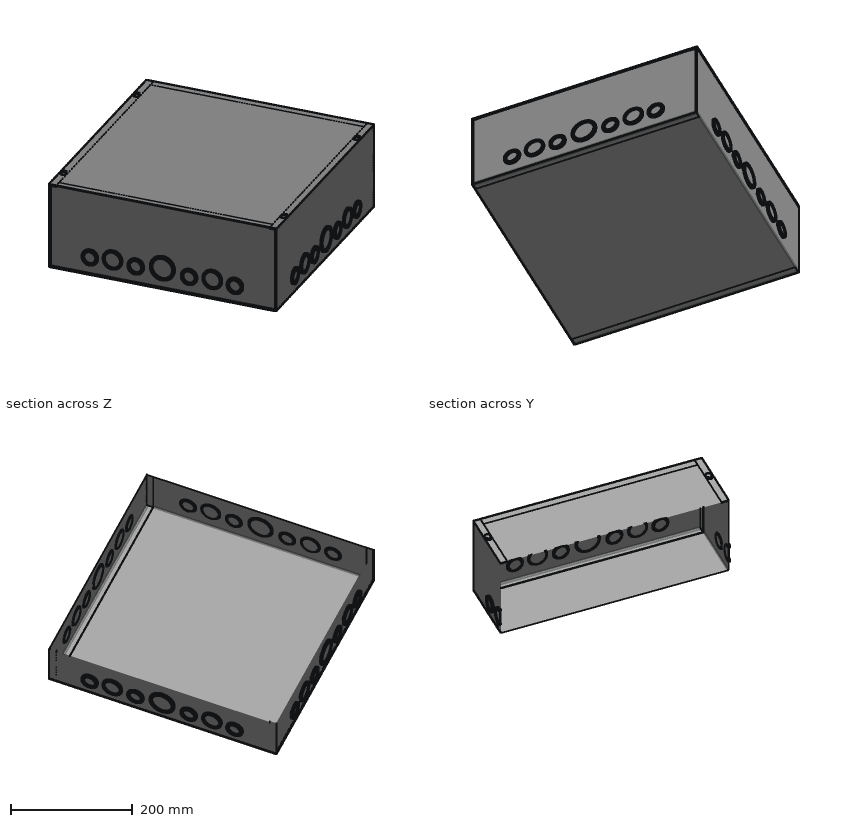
import cadquery as cq

side = 406.4
box_height = 152.4
sheet = 1.45
half_side = side / 2

panel_bend = 3.4
panel_gap = 0.7
wrapper_bend = sheet + panel_gap
flange_width = 12.7

screw_x = 196.4
screw_y = 152.3
keyhole_head_diameter = 10.3
keyhole_head_offset = 6.8
keyhole_neck_width = 3.4
keyhole_seat_radius = 3.3

knockout_rise = 2.97
knockout_center_rise = knockout_rise - sheet
small_ring = (29.3, 19.8)
medium_ring = (34.9, 27.0)
large_ring = (44.45, 34.9)
knockout_row = [
    (0, 38.3, large_ring),
    (47.6, 32.0, small_ring),
    (89.0, 35.6, medium_ring),
    (129.4, 32.0, small_ring),
]


def add_knockouts(body, wall):
    """Press a mirrored row of knockouts out of the wall whose outer face is the plane `wall`."""
    for distance, height, (outer, inner) in knockout_row:
        for along in {distance, -distance}:
            center = wall.center(along, height)
            disc = center.circle(outer / 2).extrude(knockout_rise)
            dish = center.workplane(offset=knockout_center_rise).circle(inner / 2).extrude(sheet)
            groove = center.workplane(offset=-sheet).circle(outer / 2 - sheet).circle(inner / 2 + sheet)
            body = body.union(disc).cut(dish).cut(groove.extrude(knockout_rise))
    return body


def make_wrapper():
    """Floor and two side walls bent from one sheet, with a flange along the top of each wall."""
    body = cq.Workplane("XY").box(side, side, box_height, centered=(True, True, False))
    body = body.edges("|Y and <Z").fillet(wrapper_bend)
    inside = cq.Workplane("XY", origin=(0, 0, sheet))
    inside = inside.box(side - 2 * sheet, side, box_height - 2 * sheet, centered=(True, True, False))
    inside = inside.edges("|Y and <Z").fillet(wrapper_bend - sheet)
    mouth = cq.Workplane("XY", origin=(0, 0, box_height))
    mouth = mouth.box(side - 2 * flange_width, side, 4 * sheet)
    body = body.cut(inside).cut(mouth)
    for direction in (-1, 1):
        wall = cq.Plane((direction * half_side, 0, 0), (0, direction, 0), (direction, 0, 0))
        body = add_knockouts(body, cq.Workplane(wall))
    return body


def make_end_panel(direction):
    """End wall with a flange on all four edges, set between the side walls and on the floor."""
    width = side - 2 * (sheet + panel_gap)
    height = box_height - sheet
    lower_front_edge = "|X and <Y and <Z"
    body = cq.Workplane("XY").box(width, flange_width, height, centered=(True, False, False))
    body = body.edges(lower_front_edge).fillet(panel_bend)
    inside = cq.Workplane("XY", origin=(0, sheet, sheet))
    inside = inside.box(width - 2 * sheet, flange_width, height - 2 * sheet, centered=(True, False, False))
    inside = inside.edges(lower_front_edge).fillet(panel_bend - sheet)
    body = body.cut(inside)
    for x in (-half_side, half_side):
        corner = cq.Workplane("XY", origin=(x, 0, height))
        body = body.cut(corner.box(2 * flange_width, 4 * flange_width, 2 * (sheet + panel_gap)))
    wall = cq.Plane((0, 0, 0), (1, 0, 0), (0, -1, 0))
    body = add_knockouts(body, cq.Workplane(wall)).translate((0, -half_side, sheet))
    return body if direction < 0 else body.mirror("XZ")


def make_keyhole(x, y):
    """Cutter for one slot: round head, narrow neck, and a domed seat at the +Y end."""
    seat_plane = cq.Workplane("XY", origin=(x, y, box_height))
    seat = seat_plane.moveTo(keyhole_seat_radius, 0)
    seat = seat.threePointArc((0, keyhole_seat_radius), (-keyhole_seat_radius, 0)).close().extrude(sheet)
    head = cq.Workplane("XY", origin=(x, y - keyhole_head_offset, box_height))
    head = head.circle(keyhole_head_diameter / 2).extrude(sheet)
    neck = cq.Workplane("XY", origin=(x, y - keyhole_head_offset / 2, box_height))
    neck = neck.rect(keyhole_neck_width, keyhole_head_offset).extrude(sheet)
    return seat.union(neck).union(head)


def make_cover():
    """Flat sheet lying on the flanges, with a keyhole near each corner."""
    cover = cq.Workplane("XY", origin=(0, 0, box_height))
    cover = cover.box(side, side, sheet, centered=(True, True, False))
    for x in (-screw_x, screw_x):
        for y in (-screw_y, screw_y):
            cover = cover.cut(make_keyhole(x, y))
    return cover


wrapper = make_wrapper()
end_panels = [make_end_panel(direction).val() for direction in (-1, 1)]
cover = make_cover()
result = cq.Compound.makeCompound([wrapper.val(), *end_panels, cover.val()])